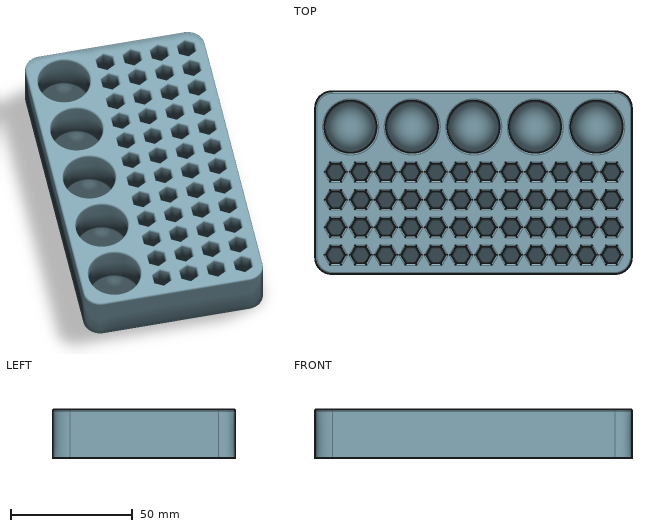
import cadquery as cq
import math

length = 130.0
width = 75.0
height = 20.0
corner_radius = 7.0

top_edge_radius = 0.8

floor_thickness = 4.0
pocket_depth = height - floor_thickness
floor_fillet = 0.5

round_diameter = 21.5
round_count = 5
round_inset = 14.5
round_pitch = (length - 2 * round_inset) / (round_count - 1)
round_row_y = width / 2 - round_inset

hex_across_flats = 6.9
hex_across_corners = hex_across_flats / math.cos(math.pi / 6)
hex_columns = 12
hex_rows = 4
hex_inset = 8.5
hex_pitch_x = (length - 2 * hex_inset) / (hex_columns - 1)
hex_grid_depth = 34.0
hex_pitch_y = hex_grid_depth / (hex_rows - 1)
hex_grid_y = -12.6


def make_block():
    """Plain block with rounded vertical corners, standing on Z = 0."""
    block = cq.Workplane("XY").box(length, width, height, centered=(True, True, False))
    return block.edges("|Z").fillet(corner_radius)


def pocket_cutter(outline):
    """Solid that fills one pocket, with its mouth at Z = 0."""
    cutter = outline.extrude(-pocket_depth)
    return cutter.faces("<Z").edges().fillet(floor_fillet)


def cut_grid(body, cutter, pitch_x, pitch_y, columns, rows, center_y):
    """Cut a grid of pockets, centred on X = 0, into the top face."""
    pocket = cutter.val()
    grid = cq.Workplane("XY", origin=(0, center_y, height)).rarray(pitch_x, pitch_y, columns, rows)
    return body.cut(grid.eachpoint(lambda place: pocket.moved(place)))


round_cutter = pocket_cutter(cq.Workplane("XY").circle(round_diameter / 2))
hex_cutter = pocket_cutter(cq.Workplane("XY").polygon(6, hex_across_corners))

result = make_block()
result = cut_grid(result, round_cutter, round_pitch, round_pitch, round_count, 1, round_row_y)
result = cut_grid(result, hex_cutter, hex_pitch_x, hex_pitch_y, hex_columns, hex_rows, hex_grid_y)
result = result.faces(">Z").edges().fillet(top_edge_radius)